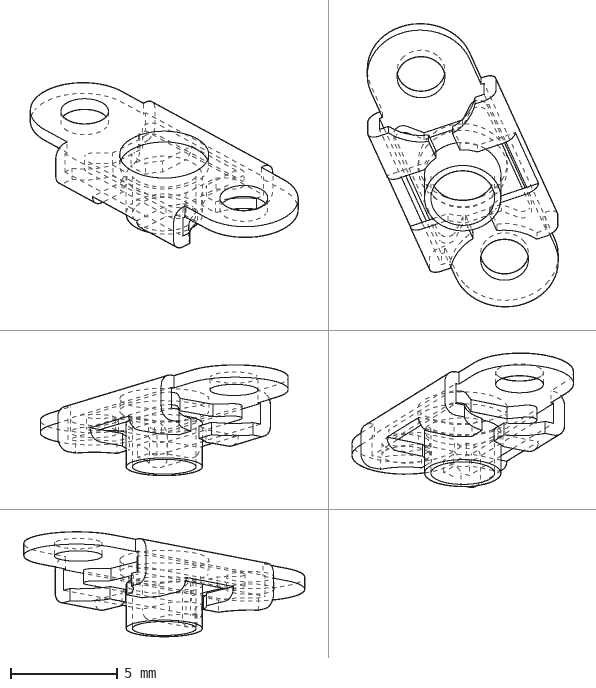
import cadquery as cq
import math

thickness = 0.6
plate_length = 16.0
plate_width = 5.0
channel_length = 8.0
channel_width = 6.5
channel_height = 2.2
bend_radius = 0.6
lip_gap = 1.2

mount_hole_diameter = 2.25
mount_hole_offset = 5.4
access_hole_diameter = 4.2
head_clearance_radius = 2.6
barrel_clearance = 0.2
lip_slot_width = 3.0

barrel_diameter = 3.6
bore_diameter = 3.0
nut_height = 2.7
flange_length = 6.5
flange_width = 4.7
notch_floor_width = 1.95
prong_tip_radius = 0.44

plate_bottom = -thickness
channel_bottom = -channel_height
lip_top = channel_bottom + thickness


def make_plate():
    plate = cq.Workplane("XY").workplane(offset=plate_bottom)
    return plate.slot2D(plate_length, plate_width).extrude(thickness)


def make_channel():
    channel = (
        cq.Workplane("XY")
        .box(channel_length, channel_width, channel_height, centered=(True, True, False))
        .edges("|X")
        .fillet(bend_radius)
        .translate((0, 0, channel_bottom))
    )
    inside_height = channel_height - 2 * thickness
    inside = (
        cq.Workplane("XY")
        .workplane(offset=lip_top)
        .rect(channel_length, channel_width - 2 * thickness)
        .extrude(inside_height)
    )
    gap = (
        cq.Workplane("XY")
        .workplane(offset=channel_bottom)
        .rect(channel_length, lip_gap)
        .extrude(thickness)
    )
    return channel.cut(inside).cut(gap)


def make_lip_cutouts():
    lip_level = cq.Workplane("XY").workplane(offset=channel_bottom)
    slot = lip_level.rect(lip_slot_width, channel_width).extrude(thickness)
    barrel_opening = lip_level.circle(barrel_diameter / 2 + barrel_clearance).extrude(thickness)
    head_openings = (
        lip_level.pushPoints([(-mount_hole_offset, 0), (mount_hole_offset, 0)])
        .circle(head_clearance_radius)
        .extrude(thickness)
    )
    return slot.union(barrel_opening).union(head_openings)


def make_bracket():
    plate_level = cq.Workplane("XY").workplane(offset=plate_bottom)
    mount_holes = (
        plate_level.pushPoints([(-mount_hole_offset, 0), (mount_hole_offset, 0)])
        .circle(mount_hole_diameter / 2)
        .extrude(thickness)
    )
    access_hole = plate_level.circle(access_hole_diameter / 2).extrude(thickness)
    body = make_plate().union(make_channel())
    return body.cut(make_lip_cutouts()).cut(mount_holes).cut(access_hole)


def make_flange_notch(side):
    """Cutter for one flange end: a 45 degree notch that runs into rounded prong tips."""
    end = flange_length / 2
    cutter_end = end + prong_tip_radius
    edge = flange_width / 2
    tip_x = end - prong_tip_radius
    tip_y = edge - prong_tip_radius
    diagonal = prong_tip_radius * math.sqrt(0.5)
    notch_top = (tip_x + diagonal, tip_y - diagonal)
    notch_floor_y = notch_floor_width / 2
    notch_floor_x = notch_top[0] - (notch_top[1] - notch_floor_y)
    arc_angle = math.radians((90 - 45) / 2)
    arc_middle = (
        tip_x + prong_tip_radius * math.cos(arc_angle),
        tip_y + prong_tip_radius * math.sin(arc_angle),
    )
    return (
        cq.Workplane("XY")
        .workplane(offset=plate_bottom - thickness)
        .moveTo(side * notch_floor_x, -notch_floor_y)
        .lineTo(side * notch_floor_x, notch_floor_y)
        .lineTo(side * notch_top[0], notch_top[1])
        .threePointArc((side * arc_middle[0], arc_middle[1]), (side * tip_x, edge))
        .lineTo(side * cutter_end, edge)
        .lineTo(side * cutter_end, -edge)
        .lineTo(side * tip_x, -edge)
        .threePointArc((side * arc_middle[0], -arc_middle[1]), (side * notch_top[0], -notch_top[1]))
        .close()
        .extrude(thickness)
    )


def make_bore():
    """Cutter for the bore and its rounded mouth, which meets the edge of the access hole."""
    nut_bottom = plate_bottom - nut_height
    bore_radius = bore_diameter / 2
    mouth_radius = access_hole_diameter / 2
    mouth_rounding = mouth_radius - bore_radius
    diagonal = mouth_rounding * math.sqrt(0.5)
    arc_middle = (mouth_radius - diagonal, plate_bottom - mouth_rounding + diagonal)
    return (
        cq.Workplane("XZ")
        .moveTo(0, nut_bottom)
        .lineTo(bore_radius, nut_bottom)
        .lineTo(bore_radius, plate_bottom - mouth_rounding)
        .threePointArc(arc_middle, (mouth_radius, plate_bottom))
        .lineTo(0, plate_bottom)
        .close()
        .revolve(360, (0, 0, 0), (0, 1, 0))
    )


def make_nut():
    flange = (
        cq.Workplane("XY")
        .workplane(offset=plate_bottom - thickness)
        .rect(flange_length, flange_width)
        .extrude(thickness)
    )
    for side in (-1, 1):
        flange = flange.cut(make_flange_notch(side))
    nut_top = cq.Workplane("XY").workplane(offset=plate_bottom)
    barrel = nut_top.circle(barrel_diameter / 2).extrude(-nut_height)
    return flange.union(barrel).cut(make_bore())


bracket = make_bracket().solids()
nut = make_nut().solids()

result = cq.Compound.makeCompound([bracket.val(), nut.val()])